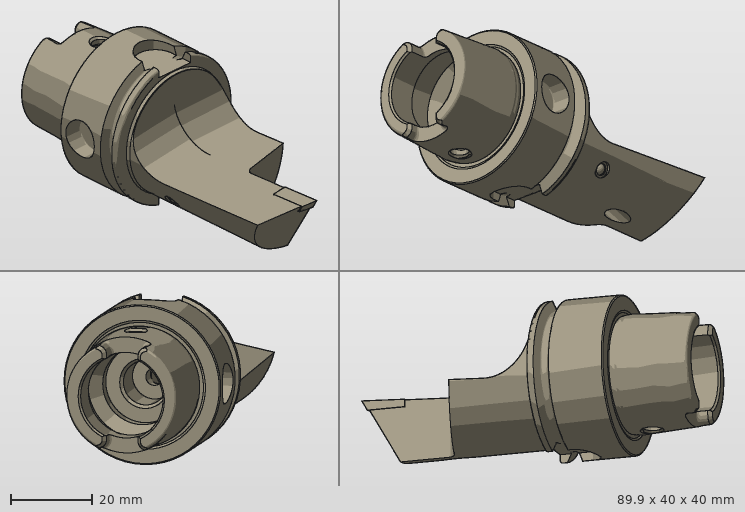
import cadquery as cq
import math


shank_length = 20.0
taper_end_x = -2.0
taper_large_radius = 15.0
taper_slope = 1 / 20
relief_radius = 29.71 / 2
relief_cone_length = 0.65
relief_end_x = -0.7
relief_root_radius = 14.65
face_recess_depth = 0.2
face_recess_floor_radius = 15.6
face_recess_rim_radius = 16.15
shank_end_fillet = 0.8

flange_radius = 20.0
flange_length = 20.0
flange_face_chamfer = 0.3
flange_front_fillet = 0.8
groove_floor_radius = 17.45
groove_start_x = 14.1
groove_floor_start_x = 15.15
groove_floor_end_x = 16.8
groove_end_x = 18.1
groove_fillet = 0.5

bore_radius = 21 / 2
bore_mouth_chamfer = 0.5
clamp_recess_radius = 25.5 / 2
clamp_shoulder_x = -12.1
clamp_shoulder_angle = 60.0
clamp_recess_end_x = -3.9
bore_bottom_radius = 9.8
bore_bottom_x = 2.0
thread_mouth_radius = 12.5 / 2
thread_core_radius = 11 / 2
thread_bottom_x = 11.5

drive_slot_half_width = 4.0
drive_slot_flare_radius = 2.3
drive_slot_flare_height = 12.9
drive_slot_end_fillet = 1.0
drive_slot_mouth_chamfer = 0.9
upper_drive_slot_depth = 6.0
lower_drive_slot_depth = 3.6

keyway_width = 11.0
keyway_end_x = 7.7
keyway_floor_height = 17.0

release_hole_x = -6.1
release_hole_diameter = 4.6
release_hole_mouth_diameter = 6.1
chip_hole_x = 7.0
chip_hole_diameter = 10.0
chip_hole_depth = 5.0
chip_hole_floor_fillet = 0.3

arm_radius = 33 / 2
neck_root_radius = 16.8
neck_length = 0.9
arm_wall_x = 21.15
tip_x = 69.9
rake_slope_angle = 3.0
rake_side_angle = 7.0
arm_corner_radius = 10.7
end_relief_angle = 30.0
end_side_angle = 8.7
end_setback = 0.45
arm_edge_y = -0.3
side_outer_x = 41.4
side_inner_x = 45.6
side_corner_fillet = 2.5

insert_back_x = 58.7
insert_width = 4.0
insert_thickness = 2.5
insert_rise = 0.05
insert_side_angle = 10.0

coolant_inlet_diameter = 4.2
coolant_inlet_end_x = 15.8
coolant_branch_x = 14.8
coolant_diameter = 4.0
coolant_exit = cq.Vector(46.0, -5.0, -15.6)
coolant_overrun = 1.5
ball_diameter = 3.0
ball_hole_x = 32.1
ball_hole_mouth_angle = 38.6
ball_hole_tilt = 28.0
ball_hole_mouth_diameter = 4.2
ball_hole_mouth_depth = 0.6
ball_depth = 1.5

cut_size = 2 * flange_radius


def revolve_about_x(profile):
    return profile.close().revolve(360, (0, 0, 0), (1, 0, 0))


def turned_blank():
    shank_end_radius = taper_large_radius - taper_slope * (taper_end_x + shank_length)
    relief_x = taper_end_x + relief_cone_length
    profile = (
        cq.Workplane("XY")
        .moveTo(-shank_length, 0)
        .lineTo(-shank_length, shank_end_radius - shank_end_fillet)
        .radiusArc((-shank_length + shank_end_fillet, shank_end_radius), shank_end_fillet)
        .lineTo(taper_end_x, taper_large_radius)
        .lineTo(relief_x, relief_radius)
        .lineTo(relief_end_x, relief_radius)
        .lineTo(face_recess_depth, relief_root_radius)
        .lineTo(face_recess_depth, face_recess_floor_radius)
        .lineTo(0, face_recess_rim_radius)
        .lineTo(0, flange_radius - flange_face_chamfer)
        .lineTo(flange_face_chamfer, flange_radius)
        .lineTo(flange_length - flange_front_fillet, flange_radius)
        .radiusArc((flange_length, flange_radius - flange_front_fillet), flange_front_fillet)
        .lineTo(flange_length, neck_root_radius)
        .lineTo(flange_length + neck_length, arm_radius)
        .lineTo(tip_x, arm_radius)
        .lineTo(tip_x, 0)
    )
    return revolve_about_x(profile)


def gripper_groove():
    groove = revolve_about_x(
        cq.Workplane("XY")
        .moveTo(groove_start_x, flange_radius)
        .lineTo(groove_floor_start_x, groove_floor_radius)
        .lineTo(groove_floor_end_x, groove_floor_radius)
        .lineTo(groove_end_x, flange_radius)
    )
    floor_edges = groove.edges(cq.selectors.RadiusNthSelector(0))
    return floor_edges.fillet(groove_fillet)


def clamping_bore():
    shoulder_length = (clamp_recess_radius - bore_radius) / math.tan(math.radians(clamp_shoulder_angle))
    thread_chamfer = thread_mouth_radius - thread_core_radius
    return revolve_about_x(
        cq.Workplane("XY")
        .moveTo(-shank_length, 0)
        .lineTo(-shank_length, bore_radius + bore_mouth_chamfer)
        .lineTo(-shank_length + bore_mouth_chamfer, bore_radius)
        .lineTo(clamp_shoulder_x, bore_radius)
        .lineTo(clamp_shoulder_x + shoulder_length, clamp_recess_radius)
        .lineTo(clamp_recess_end_x, clamp_recess_radius)
        .lineTo(clamp_recess_end_x + clamp_recess_radius - bore_bottom_radius, bore_bottom_radius)
        .lineTo(bore_bottom_x, bore_bottom_radius)
        .lineTo(bore_bottom_x, thread_mouth_radius)
        .lineTo(bore_bottom_x + thread_chamfer, thread_core_radius)
        .lineTo(thread_bottom_x, thread_core_radius)
        .lineTo(thread_bottom_x, 0)
    )


def drive_slot(depth):
    """Slot on the +Z side, open at the shank end, with sides flared outwards."""
    flare_start_height = drive_slot_flare_height - drive_slot_flare_radius
    flare_end_y = drive_slot_half_width + drive_slot_flare_radius
    flare_mid = drive_slot_flare_radius * math.sqrt(0.5)
    flare_mid_y = flare_end_y - flare_mid
    flare_mid_z = flare_start_height + flare_mid

    def section():
        return (
            cq.Workplane("YZ", origin=(-shank_length, 0, 0))
            .moveTo(-drive_slot_half_width, 0)
            .lineTo(drive_slot_half_width, 0)
            .lineTo(drive_slot_half_width, flare_start_height)
            .threePointArc((flare_mid_y, flare_mid_z), (flare_end_y, drive_slot_flare_height))
            .lineTo(flange_radius, drive_slot_flare_height)
            .lineTo(flange_radius, flange_radius)
            .lineTo(-flange_radius, flange_radius)
            .lineTo(-flange_radius, drive_slot_flare_height)
            .lineTo(-flare_end_y, drive_slot_flare_height)
            .threePointArc((-flare_mid_y, flare_mid_z), (-drive_slot_half_width, flare_start_height))
            .close()
        )

    slot = section().extrude(depth).faces(">X").edges().fillet(drive_slot_end_fillet)
    mouth = section().offset2D(drive_slot_mouth_chamfer).extrude(drive_slot_mouth_chamfer, taper=45)
    return slot.union(mouth)


def keyway():
    """Round-ended keyway on the +Z side, open at the front of the flange."""
    end_center_x = keyway_end_x + keyway_width / 2
    floor = cq.Workplane("XY", origin=(0, 0, keyway_floor_height))
    height = flange_radius
    straight = floor.moveTo(end_center_x, -keyway_width / 2).rect(
        flange_length + neck_length - end_center_x, keyway_width, centered=False
    )
    return straight.extrude(height).union(
        floor.center(end_center_x, 0).circle(keyway_width / 2).extrude(height)
    )


def on_both_sides(upper, lower):
    """Combine a +Z side tool with another one turned to the -Z side."""
    return upper.union(lower.rotate((0, 0, 0), (1, 0, 0), 180))


def release_hole():
    hole = cq.Workplane("XY").center(release_hole_x, 0).circle(release_hole_diameter / 2)
    hole = hole.extrude(flange_radius, both=True)
    sink = (release_hole_mouth_diameter - release_hole_diameter) / 2
    surface = taper_large_radius + taper_slope * (release_hole_x - taper_end_x)
    mouth = (
        cq.Workplane("XY", origin=(release_hole_x, 0, surface))
        .circle(release_hole_mouth_diameter / 2)
        .extrude(-sink, taper=45)
    )
    return hole.union(on_both_sides(mouth, mouth))


def chip_hole():
    hole = (
        cq.Workplane("XZ", origin=(chip_hole_x, -flange_radius, 0))
        .circle(chip_hole_diameter / 2)
        .extrude(-chip_hole_depth)
    )
    return hole.faces(">Y").edges().fillet(chip_hole_floor_fillet)


def top_face_cutter(drop):
    """Clears the space above the arm: a wall, a large corner radius and the sloping top face."""
    slope = math.radians(rake_slope_angle)

    def face_height(x):
        return (x - tip_x) * math.tan(slope)

    center_x = arm_wall_x + arm_corner_radius
    center_z = face_height(center_x) + arm_corner_radius / math.cos(slope)
    tangent_x = center_x + arm_corner_radius * math.sin(slope)
    middle = math.radians(225 + rake_slope_angle / 2)
    arc_middle = (
        center_x + arm_corner_radius * math.cos(middle),
        center_z + arm_corner_radius * math.sin(middle),
    )
    far_x = tip_x + arm_corner_radius

    def cutter(width, both):
        return (
            cq.Workplane("XZ")
            .moveTo(arm_wall_x, cut_size)
            .lineTo(arm_wall_x, center_z)
            .threePointArc(arc_middle, (tangent_x, face_height(tangent_x)))
            .lineTo(far_x, face_height(far_x))
            .lineTo(far_x, cut_size)
            .close()
            .extrude(width, both=both)
        )

    level = cutter(cut_size, True)
    tilted = cutter(cut_size, False).rotate(
        (tip_x, 0, 0), (tip_x + math.cos(slope), 0, math.sin(slope)), rake_side_angle
    )
    return level.union(tilted).translate((0, 0, -drop))


def end_cutter(setback, side_angle):
    """Clears everything ahead of the inclined end face."""
    normal = cq.Vector(1, -math.tan(math.radians(side_angle)), -math.tan(math.radians(end_relief_angle)))
    plane = cq.Plane(origin=(tip_x - setback, 0, 0), xDir=(0, 1, 0), normal=normal)
    return cq.Workplane(plane).rect(2 * cut_size, 2 * cut_size).extrude(cut_size)


def side_cutter():
    """Clears the +Y half ahead of the slanted shoulder."""
    cutter = (
        cq.Workplane("XY", origin=(0, 0, -cut_size))
        .moveTo(side_inner_x, arm_edge_y)
        .lineTo(tip_x + cut_size, arm_edge_y)
        .lineTo(tip_x + cut_size, arm_radius)
        .lineTo(side_outer_x, arm_radius)
        .close()
        .extrude(2 * cut_size)
    )
    inner_corner = cq.selectors.NearestToPointSelector((side_inner_x, arm_edge_y, 0))
    return cutter.edges(inner_corner).fillet(side_corner_fillet)


def coolant_holes():
    inlet = (
        cq.Workplane("YZ", origin=(thread_bottom_x, 0, 0))
        .circle(coolant_inlet_diameter / 2)
        .extrude(coolant_inlet_end_x - thread_bottom_x)
    )
    start = cq.Vector(coolant_branch_x, 0, 0)
    run = coolant_exit - start
    branch = cq.Solid.makeCylinder(coolant_diameter / 2, run.Length * coolant_overrun, start, run)
    return inlet.union(cq.Workplane(branch))


def ball_hole_plane(depth):
    """Plane across the ball hole, at a depth below its mouth, that faces outwards."""
    mouth_angle = math.radians(ball_hole_mouth_angle)
    tilt = math.radians(ball_hole_tilt)
    mouth = cq.Vector(ball_hole_x, -arm_radius * math.cos(mouth_angle), -arm_radius * math.sin(mouth_angle))
    outward = cq.Vector(0, -math.cos(tilt), -math.sin(tilt))
    return cq.Plane(origin=mouth - outward * depth, xDir=(1, 0, 0), normal=outward)


def ball_hole():
    bottom_depth = ball_depth + ball_diameter / 2
    bore = cq.Workplane(ball_hole_plane(bottom_depth)).circle(ball_diameter / 2).extrude(2 * bottom_depth)
    mouth = cq.Workplane(ball_hole_plane(ball_hole_mouth_depth)).circle(ball_hole_mouth_diameter / 2)
    return bore.union(mouth.extrude(bottom_depth))


def sealing_ball():
    return cq.Workplane(ball_hole_plane(ball_depth)).sphere(ball_diameter / 2)


def insert_block():
    return (
        cq.Workplane("XY")
        .moveTo(insert_back_x, -insert_width)
        .rect(2 * (tip_x - insert_back_x), insert_width, centered=False)
        .extrude(-insert_thickness)
    )


def cutting_insert():
    return insert_block().cut(top_face_cutter(0)).cut(end_cutter(0, insert_side_angle)).solids()


def tool_holder():
    body = turned_blank()
    body = body.cut(gripper_groove()).cut(clamping_bore())
    body = body.cut(on_both_sides(drive_slot(upper_drive_slot_depth), drive_slot(lower_drive_slot_depth)))
    body = body.cut(on_both_sides(keyway(), keyway()))
    body = body.cut(release_hole()).cut(chip_hole())
    body = body.cut(top_face_cutter(insert_rise)).cut(end_cutter(end_setback, end_side_angle)).cut(side_cutter())
    body = body.cut(coolant_holes()).cut(ball_hole())
    return body.cut(insert_block()).solids()


holder = tool_holder()
insert = cutting_insert()
ball = sealing_ball()

result = cq.Compound.makeCompound([holder.val(), insert.val(), ball.val()])